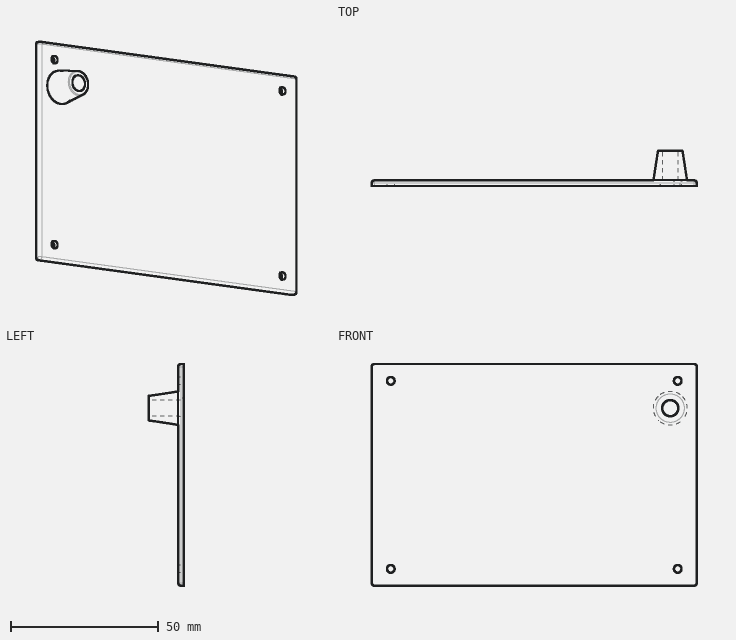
import cadquery as cq

plate_width = 110.0
plate_height = 75.0
plate_thickness = 2.0
corner_radius = 1.0
back_edge_radius = plate_thickness / 2

mount_hole_diameter = 2.5
mount_spacing_x = 97.0
mount_spacing_z = 63.6

boss_height = 10.0
boss_base_diameter = 11.4
boss_tip_diameter = 8.4
boss_tip_radius = 0.3
boss_x = plate_width / 2 - 9.0
boss_z = plate_height / 2 - 15.0
bore_diameter = 5.4
bore_mouth_diameter = 9.6
mouth_radius = (bore_mouth_diameter - bore_diameter) / 2
overall_depth = plate_thickness + boss_height


def make_plate():
    """Flat plate with its front face on Y = 0 and rounded back edges."""
    plate = cq.Workplane("XY").box(
        plate_width, plate_thickness, plate_height, centered=(True, False, True)
    )
    plate = plate.edges("|Y").fillet(corner_radius)
    return plate.faces(">Y").edges().fillet(back_edge_radius)


def revolve_on_boss_axis(profile):
    """Revolve a radius-depth profile about the boss axis, parallel to Y."""
    solid = profile.close().revolve(360, (0, 0, 0), (0, 1, 0))
    return solid.translate((boss_x, 0, boss_z))


def make_boss():
    """Cone frustum with a rounded tip rim, standing on the back of the plate."""
    profile = (
        cq.Workplane("XY")
        .moveTo(0, plate_thickness / 2)
        .lineTo(boss_base_diameter / 2, plate_thickness / 2)
        .lineTo(boss_base_diameter / 2, plate_thickness)
        .lineTo(boss_tip_diameter / 2, overall_depth)
        .lineTo(0, overall_depth)
    )
    boss = revolve_on_boss_axis(profile)
    return boss.faces(">Y").edges().fillet(boss_tip_radius)


def make_bore():
    """Through bore with a convex, rounded mouth at the front face."""
    profile = (
        cq.Workplane("XY")
        .lineTo(bore_mouth_diameter / 2, 0)
        .radiusArc((bore_diameter / 2, mouth_radius), mouth_radius)
        .lineTo(bore_diameter / 2, overall_depth)
        .lineTo(0, overall_depth)
    )
    return revolve_on_boss_axis(profile)


def make_mount_holes():
    """Cutters for the four mounting holes."""
    return (
        cq.Workplane("XZ")
        .rarray(mount_spacing_x, mount_spacing_z, 2, 2)
        .circle(mount_hole_diameter / 2)
        .extrude(-plate_thickness)
    )


result = make_plate().union(make_boss()).cut(make_bore()).cut(make_mount_holes())